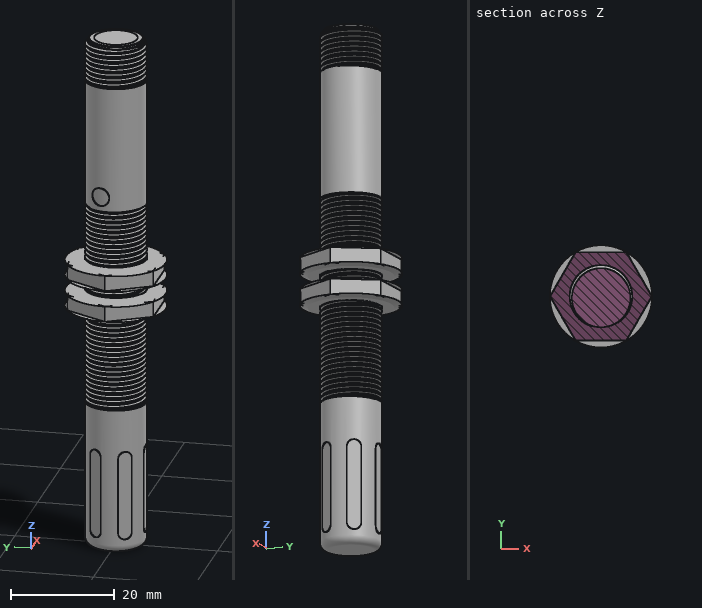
import cadquery as cq
import math

total_length = 103.18
body_radius = 6.0

gland_length = 29.1
gland_edge_radius = 1.5
grip_count = 6
grip_bottom = 2.75
grip_top = 20.6
grip_width = 2.8
grip_depth = 0.2

cap_protrusion = 0.6
housing_top = total_length - cap_protrusion
housing_chamfer = 0.4
thread_pitch = 1.0
thread_crest = thread_pitch / 8
thread_root = thread_pitch / 4
thread_flank = (thread_pitch - thread_crest - thread_root) / 2
thread_depth = thread_flank * math.tan(math.pi / 3)
lower_thread_end = 69.6
upper_thread_start = 94.7
window_radius = 1.8
window_depth = 0.2
window_offset = 1.8
window_height = 72.4

cap_head_radius = 5.3
cap_edge_chamfer = 0.15
cap_plug_radius = 5.1
cap_plug_bottom = total_length - 9.5
face_radius = 4.2
face_thickness = 1.0

nut_across_flats = 17.0
nut_height = 4.0
nut_rim_radius = 19.77 / 2
nut_face_radius = 8.35
nut_bevel_height = 0.45
nut_centers = (50.1, 56.35)


def cylinder(radius, bottom, top):
    return cq.Workplane("XY", origin=(0, 0, bottom)).circle(radius).extrude(top - bottom)


def make_gland():
    gland = cylinder(body_radius, 0, gland_length).faces("<Z").edges().fillet(gland_edge_radius)
    floor_radius = body_radius - grip_depth
    grip = (
        cq.Workplane("XZ", origin=(0, -floor_radius, (grip_bottom + grip_top) / 2))
        .slot2D(grip_top - grip_bottom, grip_width, 90)
        .extrude(body_radius)
    )
    for index in range(grip_count):
        gland = gland.cut(grip.rotate((0, 0, 0), (0, 0, 1), index * 360 / grip_count))
    return gland


def threaded_length(bottom, top):
    """Rod with a right-handed helical thread, cut square at both ends."""
    root_radius = body_radius - thread_depth
    one_pitch = [
        (body_radius, 0),
        (body_radius, thread_crest),
        (root_radius, thread_crest + thread_flank),
        (root_radius, thread_pitch - thread_flank),
        (body_radius, thread_pitch),
    ]
    spare_turns = 2
    start = bottom - spare_turns * thread_pitch
    turns = math.ceil((top - bottom) / thread_pitch) + 2 * spare_turns
    end = start + turns * thread_pitch

    def turn_of_helix(radius, height):
        wire = cq.Wire.makeHelix(thread_pitch, thread_pitch, radius, cq.Vector(0, 0, height))
        return wire.Edges()[0]

    faces = []
    for turn in range(turns):
        base = start + turn * thread_pitch
        helices = [turn_of_helix(radius, base + rise) for radius, rise in one_pitch]
        for lower, upper in zip(helices, helices[1:]):
            faces.append(cq.Face.makeRuledSurface(lower, upper))

    for height in (start, end):
        axis_bottom = cq.Vector(0, 0, height)
        axis_top = cq.Vector(0, 0, height + thread_pitch)
        axis = cq.Edge.makeLine(axis_bottom, axis_top)
        faces.append(cq.Face.makeRuledSurface(axis, turn_of_helix(body_radius, height)))
        profile = [cq.Vector(radius, 0, height + rise) for radius, rise in one_pitch]
        step = cq.Wire.makePolygon([axis_bottom, *profile, axis_top], close=True)
        faces.append(cq.Face.makeFromWires(step))

    rod = cq.Solid.makeSolid(cq.Shell.makeShell(faces)).fix()
    return cq.Workplane(rod).intersect(cylinder(2 * body_radius, bottom, top))


def make_housing():
    clearance = 1.0
    envelope = cylinder(body_radius + clearance, upper_thread_start, housing_top)
    envelope = envelope.faces(">Z").edges().chamfer(housing_chamfer + clearance)
    upper_thread = threaded_length(upper_thread_start, housing_top).intersect(envelope)
    lower_thread = threaded_length(gland_length, lower_thread_end)

    plain_middle = cylinder(body_radius, lower_thread_end, upper_thread_start)
    window_floor = cylinder(body_radius - window_depth, lower_thread_end, upper_thread_start)
    window = (
        cq.Workplane("YZ", origin=(-2 * body_radius, window_offset, window_height))
        .circle(window_radius)
        .extrude(2 * body_radius)
        .cut(window_floor)
    )
    plug_hole = cylinder(cap_plug_radius, cap_plug_bottom, housing_top)
    return lower_thread.union(plain_middle.cut(window)).union(upper_thread).cut(plug_hole)


def make_cap():
    head = cylinder(cap_head_radius, housing_top, total_length)
    head = head.faces(">Z").edges().chamfer(cap_edge_chamfer)
    plug = cylinder(cap_plug_radius, cap_plug_bottom, housing_top)
    return head.union(plug).cut(make_sensing_face())


def make_sensing_face():
    return cylinder(face_radius, total_length - face_thickness, total_length)


def make_nut(center):
    """Hexagon with corners along X and a bevelled round rim at each end face."""
    bottom = center - nut_height / 2
    corner_diameter = nut_across_flats / math.cos(math.pi / 6)
    hexagon = (
        cq.Workplane("XY", origin=(0, 0, bottom + nut_bevel_height))
        .polygon(6, corner_diameter)
        .extrude(nut_height - 2 * nut_bevel_height)
    )
    lower_rim = (
        cq.Workplane("XZ")
        .moveTo(0, bottom)
        .lineTo(nut_face_radius, bottom)
        .lineTo(nut_rim_radius, bottom + nut_bevel_height)
        .lineTo(0, bottom + nut_bevel_height)
        .close()
        .revolve(360, (0, 0, 0), (0, 1, 0))
    )
    upper_rim = lower_rim.mirror("XY", (0, 0, center))
    bore = cylinder(body_radius, bottom, bottom + nut_height)
    return hexagon.union(lower_rim).union(upper_rim).cut(bore)


bodies = [make_gland(), make_housing(), make_cap(), make_sensing_face()]
for center in nut_centers:
    bodies.append(make_nut(center))

result = cq.Compound.makeCompound([body.solids().val() for body in bodies])